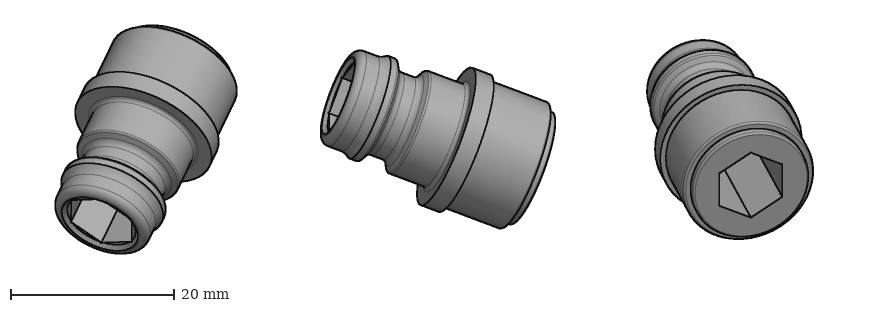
import cadquery as cq
import math

length = 25.9

tip_radius = 6.25
neck_radius = 6.73
groove_radius = 5.41
flange_diameter = 18.0
flange_radius = flange_diameter / 2
barrel_radius = 8.3
rear_step_radius = 7.38

tip_land_end = 2.75
collar_start = 4.07
collar_end = 4.9
neck_front_edge = 9.45
flange_start = 14.45
flange_end = 16.85
barrel_end = 24.9

tip_fillet = 1.0
groove_wall_angle = math.radians(60)
groove_root_fillet = 1.0
groove_lip_fillet = 0.3
flange_fillet = 0.5
rear_fillet = 0.25

hex_across_flats = 8.0
mouth_radius = 5.02
lead_in_end_radius = 4.5
lead_in_depth = 0.52


def arc_point(center, radius, angle):
    """Point of the (radius, Y) half-plane on a circle; angle is measured from the radial direction."""
    return (
        center[0] + radius * math.cos(angle),
        center[1] + radius * math.sin(angle),
    )


def add_groove_wall(profile, edge_y, direction):
    """Draw one groove wall; direction (+1 or -1) is the way along Y from the lip to the groove floor."""
    lip_center = (neck_radius - groove_lip_fillet, edge_y)
    bend_radii = groove_lip_fillet + groove_root_fillet
    drop = neck_radius - groove_radius
    arc_drop = bend_radii * (1 - math.cos(groove_wall_angle))
    straight_width = (drop - arc_drop) / math.tan(groove_wall_angle)
    width = bend_radii * math.sin(groove_wall_angle) + straight_width
    root_center = (groove_radius + groove_root_fillet, edge_y + direction * width)

    lip = [arc_point(lip_center, groove_lip_fillet, direction * groove_wall_angle * share)
           for share in (0, 0.5, 1)]
    root = [arc_point(root_center, -groove_root_fillet, direction * groove_wall_angle * share)
            for share in (1, 0.5, 0)]
    arcs = [lip, root]
    if direction < 0:
        arcs = [root[::-1], lip[::-1]]
    for start, middle, end in arcs:
        profile = profile.lineTo(*start).threePointArc(middle, end)
    return profile


def turned_body():
    profile = cq.Workplane("XY").lineTo(tip_radius - tip_fillet, 0)
    profile = profile.radiusArc((tip_radius, tip_fillet), -tip_fillet)

    flare_length = collar_start - tip_land_end
    flare_rise = neck_radius - tip_radius
    flare_radius = (flare_length**2 + flare_rise**2) / (2 * flare_rise)
    profile = profile.lineTo(tip_radius, tip_land_end)
    profile = profile.radiusArc((neck_radius, collar_start), flare_radius)

    profile = add_groove_wall(profile, collar_end, 1)
    profile = add_groove_wall(profile, neck_front_edge, -1)

    profile = profile.lineTo(neck_radius, flange_start - flange_fillet)
    profile = profile.radiusArc((neck_radius + flange_fillet, flange_start), flange_fillet)

    profile = (
        profile.lineTo(flange_radius, flange_start)
        .lineTo(flange_radius, flange_end)
        .lineTo(barrel_radius, flange_end)
        .lineTo(barrel_radius, barrel_end - rear_fillet)
        .radiusArc((barrel_radius - rear_fillet, barrel_end), -rear_fillet)
        .lineTo(rear_step_radius, barrel_end)
        .lineTo(rear_step_radius, length - rear_fillet)
        .radiusArc((rear_step_radius - rear_fillet, length), -rear_fillet)
        .lineTo(0, length)
        .close()
    )
    return profile.revolve(360, (0, 0, 0), (0, 1, 0))


def hex_bore():
    corner_diameter = hex_across_flats / math.cos(math.pi / 6)
    return (
        cq.Workplane("XZ")
        .transformed(rotate=(0, 0, 90))
        .polygon(6, corner_diameter)
        .extrude(-length)
    )


def lead_in():
    return (
        cq.Workplane("XY")
        .polyline([(0, 0), (mouth_radius, 0), (lead_in_end_radius, lead_in_depth), (0, lead_in_depth)])
        .close()
        .revolve(360, (0, 0, 0), (0, 1, 0))
    )


result = turned_body().cut(hex_bore()).cut(lead_in())